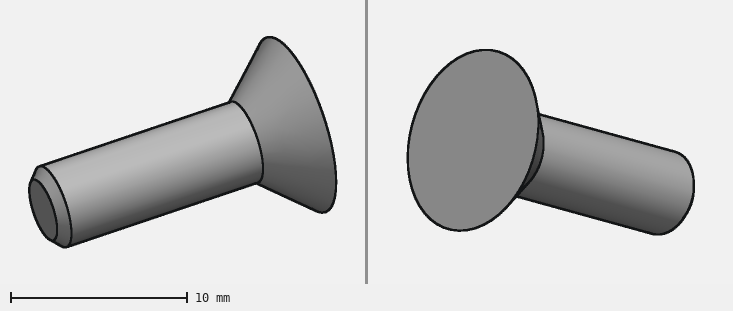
import cadquery as cq

total_length = 15.88
head_diameter = 10.43
head_height = 3.24
shank_diameter = 4.83
tip_chamfer = 0.6

head_radius = head_diameter / 2
shank_radius = shank_diameter / 2
head_start = total_length - head_height

half_section = (
    cq.Workplane("XY")
    .moveTo(0, 0)
    .lineTo(shank_radius - tip_chamfer, 0)
    .lineTo(shank_radius, tip_chamfer)
    .lineTo(shank_radius, head_start)
    .lineTo(head_radius, total_length)
    .lineTo(0, total_length)
    .close()
)

result = half_section.revolve(360, (0, 0, 0), (0, 1, 0))